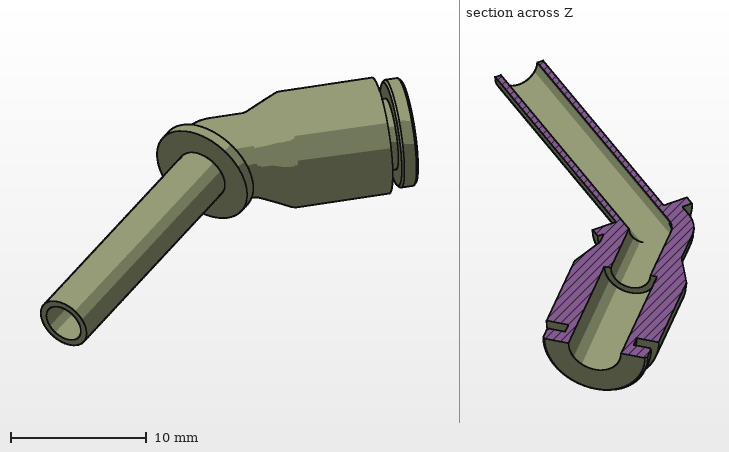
import cadquery as cq

stem_radius = 2.0
bore_radius = 1.5
flange_radius = 3.95
flange_start = 18.8
flange_thickness = 0.85

elbow_radius = 3.15
elbow_y = 20.62
bend_angle = 45.0

cone_start = 2.7
cone_end = 5.3
body_end = 12.45
collar_start = 13.23
collar_end = 14.47

body_radius = 4.33
neck_radius = 2.65
collar_radius = 4.03
collar_chamfer = 0.17
cone_blend_radius = 0.67

socket_radius = stem_radius
socket_start = cone_end


def rod(radius, start, end):
    """Cylinder on the Y axis between two Y positions."""
    return cq.Workplane("XZ", origin=(0, start, 0)).circle(radius).extrude(start - end)


def make_stem():
    """Stem tube, flange and the straight half of the elbow."""
    flange_end = flange_start + flange_thickness
    tube = rod(stem_radius, 0, flange_end)
    flange = rod(flange_radius, flange_start, flange_end)
    return tube.union(flange).union(rod(elbow_radius, flange_start, elbow_y))


def make_branch():
    """Branch turned about Y, with its base at the origin."""
    housing = (
        cq.Workplane("XY")
        .lineTo(elbow_radius, 0)
        .lineTo(elbow_radius, cone_start)
        .lineTo(body_radius, cone_end)
        .lineTo(body_radius, body_end)
        .lineTo(0, body_end)
        .close()
        .revolve(360, (0, 0, 0), (0, 1, 0))
    )
    cone_edges = cq.selectors.BoxSelector(
        (-body_radius, cone_start - cone_blend_radius, -body_radius),
        (body_radius, cone_end + cone_blend_radius, body_radius),
    )
    housing = housing.edges("%CIRCLE").edges(cone_edges).fillet(cone_blend_radius)
    neck = rod(neck_radius, body_end, collar_start)
    collar = rod(collar_radius, collar_start, collar_end).edges("%CIRCLE").chamfer(collar_chamfer)
    return housing.union(neck).union(collar)


def along_branch(shape):
    """Move a shape made on the Y axis onto the branch axis."""
    return shape.rotate((0, 0, 0), (0, 0, 1), -bend_angle).translate((0, elbow_y, 0))


def make_bend_wedge(radius):
    """Wedge of a ball that rounds the outside of the bend."""
    return (
        cq.Workplane("XZ", origin=(0, elbow_y, 0))
        .moveTo(0, -radius)
        .threePointArc((-radius, 0), (0, radius))
        .close()
        .revolve(bend_angle, (0, 0, 0), (0, -1, 0))
    )


below_flange = rod(flange_radius, 0, flange_start)
branch = along_branch(make_branch()).cut(below_flange)

stem_bore = rod(bore_radius, 0, elbow_y)
bend_bore = make_bend_wedge(bore_radius)
branch_bore = along_branch(rod(bore_radius, 0, socket_start))
socket = along_branch(rod(socket_radius, socket_start, collar_end))

result = (
    make_stem()
    .union(branch)
    .union(make_bend_wedge(elbow_radius))
    .cut(stem_bore)
    .cut(bend_bore)
    .cut(branch_bore)
    .cut(socket)
)